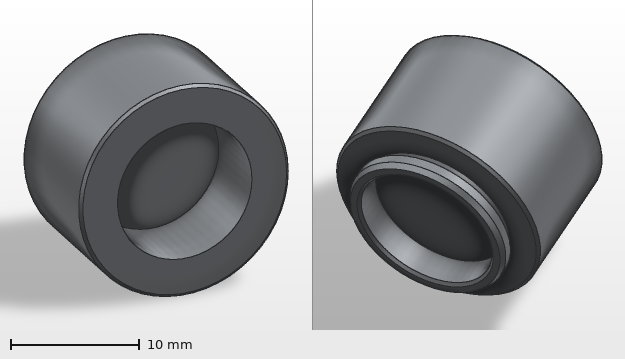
import cadquery as cq

body_diameter = 17.78
total_length = 12.95
body_chamfer = 0.25

nose_length = 2.03
flange_diameter = 13.58
flange_length = 1.26
flange_chamfer_length = 0.48
flange_chamfer_depth = 0.27
neck_diameter = 12.65

bore_diameter = 11.4
bore_chamfer = 0.25
lens_depth = 2.68
lens_thickness = 3.91

front_x = -total_length / 2
shoulder_x = front_x + nose_length


def disc(start_x, length, diameter):
    """Solid cylinder along +X, starting at start_x."""
    return cq.Workplane("YZ", origin=(start_x, 0, 0)).circle(diameter / 2).extrude(length)


def make_flange():
    """Flange with a shallow chamfer on its outer front edge."""
    radius = flange_diameter / 2
    back_x = front_x + flange_length
    half_section = [
        (front_x, 0),
        (front_x, radius - flange_chamfer_depth),
        (front_x + flange_chamfer_length, radius),
        (back_x, radius),
        (back_x, 0),
    ]
    return cq.Workplane("XY").polyline(half_section).close().revolve(360, (0, 0, 0), (1, 0, 0))


def make_housing():
    """Barrel with its nose, bored right through."""
    body = disc(shoulder_x, total_length - nose_length, body_diameter).edges().chamfer(body_chamfer)
    neck = disc(front_x + flange_length, nose_length - flange_length, neck_diameter)
    housing = body.union(neck).union(make_flange())
    housing = housing.cut(disc(front_x, total_length, bore_diameter))
    return housing.faces("<X").edges(cq.selectors.RadiusNthSelector(0)).chamfer(bore_chamfer)


def make_lens():
    """Flat-faced lens filling the bore, set back from the front face."""
    return disc(front_x + lens_depth, lens_thickness, bore_diameter)


housing = make_housing()
lens = make_lens()

result = cq.Compound.makeCompound([housing.val(), lens.val()])